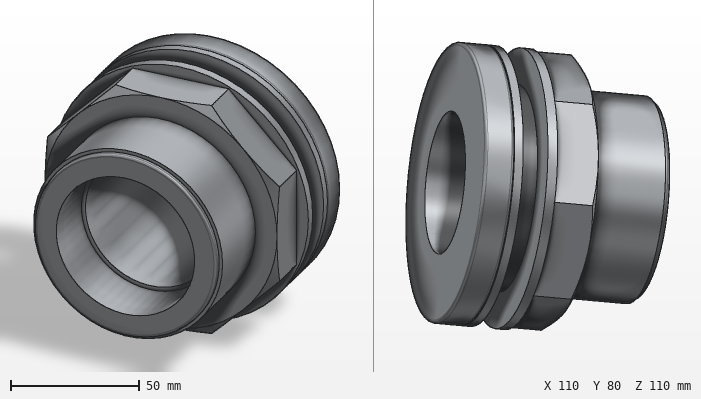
import cadquery as cq
import math

OUTER_DIAMETER = 110.0
OUTER_RADIUS = OUTER_DIAMETER / 2
TOTAL_LENGTH = 80.0

FLANGE_THICKNESS = 12.0
TUBE_RADIUS = 40.7
TIP_RADIUS = 39.3
TIP_LENGTH = 2.4
EDGE_ROUND = 1.1
SOCKET_RADIUS = 29.8
SOCKET_DEPTH = 23.0
THROAT_RADIUS = 28.0
MOUTH_RADIUS = 27.9

GASKET_THICKNESS = 3.5

CLAMP_GAP = 10.0
COLLAR_THICKNESS = 4.0
NUT_LENGTH = 22.0 - COLLAR_THICKNESS
NUT_SIDES = 8
NUT_FLATS = 100.0
NUT_CHAMFER_ANGLE = 30.0

FLANGE_FACE_Y = TOTAL_LENGTH - FLANGE_THICKNESS
GASKET_FACE_Y = FLANGE_FACE_Y - GASKET_THICKNESS
COLLAR_BACK_Y = GASKET_FACE_Y - CLAMP_GAP
NUT_BACK_Y = COLLAR_BACK_Y - COLLAR_THICKNESS
NUT_FACE_Y = NUT_BACK_Y - NUT_LENGTH


def revolve_about_y(outline):
    """Turn a closed outline of (radius, y) points about the Y axis."""
    return cq.Workplane("XY").polyline(outline).close().revolve(360, (0, 0, 0), (0, 1, 0))


def ring(outer_radius, inner_radius, start_y, end_y):
    return revolve_about_y([
        (inner_radius, start_y),
        (outer_radius, start_y),
        (outer_radius, end_y),
        (inner_radius, end_y),
    ])


def make_flanged_body():
    """Flange and tube with a stepped tip, rounded on the outer edges and bored through."""
    tip = cq.Workplane("XZ").circle(TIP_RADIUS).extrude(-TIP_LENGTH)
    tip = tip.faces("<Y").edges().fillet(EDGE_ROUND)
    tube = cq.Workplane("XZ", origin=(0, TIP_LENGTH, 0)).circle(TUBE_RADIUS)
    tube = tube.extrude(-(FLANGE_FACE_Y - TIP_LENGTH))
    flange = cq.Workplane("XZ", origin=(0, FLANGE_FACE_Y, 0)).circle(OUTER_RADIUS)
    flange = flange.extrude(-FLANGE_THICKNESS).edges("%CIRCLE").fillet(EDGE_ROUND)
    bore = revolve_about_y([
        (0, 0),
        (SOCKET_RADIUS, 0),
        (SOCKET_RADIUS, SOCKET_DEPTH),
        (THROAT_RADIUS, SOCKET_DEPTH),
        (MOUTH_RADIUS, TOTAL_LENGTH),
        (0, TOTAL_LENGTH),
    ])
    return flange.union(tube).union(tip).cut(bore)


def make_gasket():
    return ring(OUTER_RADIUS, TUBE_RADIUS, GASKET_FACE_Y, FLANGE_FACE_Y)


def make_nut():
    """Octagon with chamfered corners on its free face, joined to a round collar."""
    corner_diameter = NUT_FLATS / math.cos(math.pi / NUT_SIDES)
    octagon = cq.Workplane("XZ").polygon(NUT_SIDES, corner_diameter).extrude(-NUT_LENGTH)
    octagon = octagon.rotate((0, 0, 0), (0, 1, 0), 180 / NUT_SIDES).translate((0, NUT_FACE_Y, 0))
    flat_radius = NUT_FLATS / 2
    chamfer_rise = (OUTER_RADIUS - flat_radius) * math.tan(math.radians(NUT_CHAMFER_ANGLE))
    chamfer_envelope = revolve_about_y([
        (0, NUT_FACE_Y),
        (flat_radius, NUT_FACE_Y),
        (OUTER_RADIUS, NUT_FACE_Y + chamfer_rise),
        (OUTER_RADIUS, NUT_BACK_Y),
        (0, NUT_BACK_Y),
    ])
    collar = ring(OUTER_RADIUS, TUBE_RADIUS, NUT_BACK_Y, COLLAR_BACK_Y)
    tube_hole = ring(TUBE_RADIUS, 0, NUT_FACE_Y, COLLAR_BACK_Y)
    return octagon.intersect(chamfer_envelope).union(collar).cut(tube_hole)


flanged_body = make_flanged_body()
gasket = make_gasket()
nut = make_nut()

result = cq.Compound.makeCompound([flanged_body.val(), gasket.val(), nut.val()])